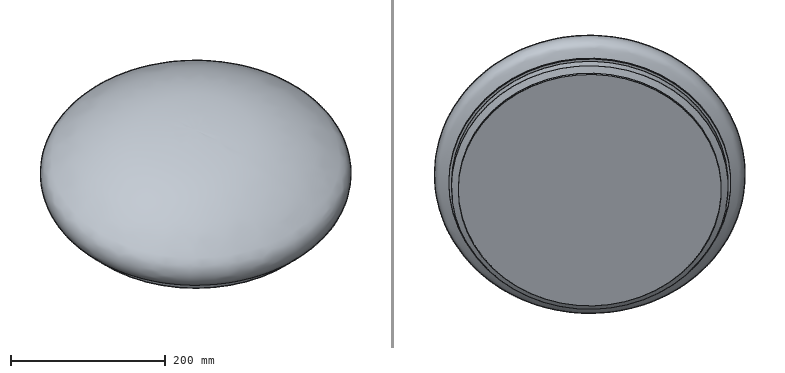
import cadquery as cq

foot_height = 3.5
bevel_top = 7.2
base_top = 19.3
neck_top = 21.7
total_height = 120.0

foot_radius = 340.0 / 2
base_radius = 357.8 / 2
neck_radius = 364.5 / 2
dome_radius = 402 / 2

crown_points = [(52.3, 117.0), (98.0, 109.0), (137.5, 95.3), (162.5, 83.2), (182.0, 70.8), (195.0, 60.0)]
widest_height = 43.0
underside_point = (196.0, 29.0)

apex_direction = (1, 0)
underside_direction = (-2, -1)


def make_base():
    """Round mounting base: a thin foot, a bevel and a cylindrical side wall."""
    profile = (
        cq.Workplane("XZ")
        .lineTo(foot_radius, 0)
        .lineTo(foot_radius, foot_height)
        .lineTo(base_radius, bevel_top)
        .lineTo(base_radius, base_top)
        .lineTo(0, base_top)
        .close()
    )
    return profile.revolve(360, (0, 0, 0), (0, 1, 0))


def make_diffuser():
    """Domed diffuser with a rounded rim and a short neck that sits on the base."""
    rim_points = [(dome_radius, widest_height), underside_point, (neck_radius, neck_top)]
    outline = [*crown_points, *rim_points]
    profile = (
        cq.Workplane("XZ")
        .moveTo(0, base_top)
        .lineTo(0, total_height)
        .spline(outline, tangents=[apex_direction, underside_direction], includeCurrent=True)
        .lineTo(neck_radius, base_top)
        .close()
    )
    return profile.revolve(360, (0, 0, 0), (0, 1, 0))


base = make_base()
diffuser = make_diffuser()

result = cq.Compound.makeCompound([base.val(), diffuser.val()])